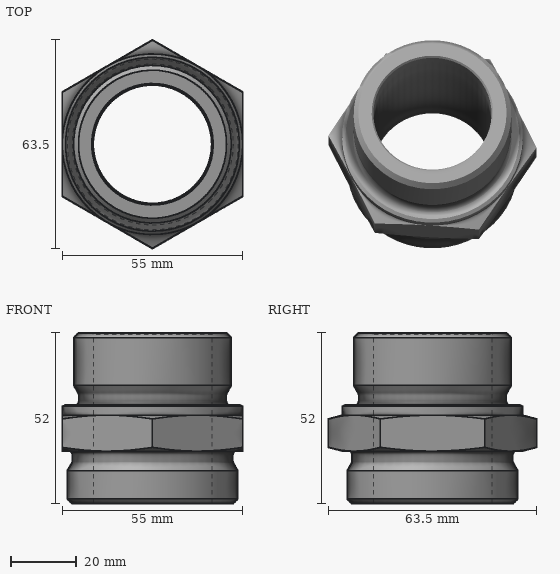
import cadquery as cq
import math

height = 52.0
bore_radius = 36.0 / 2
across_corners = 63.5
flat_radius = across_corners / 2 * math.cos(math.radians(30))

lower_taper_start = 10.0
hex_bottom = 16.0
hex_top = 26.9
collar_edge_top = 29.6
collar_crest_level = 30.1
upper_taper_end = 36.0

end_chamfer = 1.45
bore_chamfer = 0.5
lower_radius = 52.0 / 2
lower_neck_radius = 49.0 / 2
lower_blend = 0.75
hex_fillet = 1.0
upper_radius = 48.0 / 2
upper_neck_radius = 45.0 / 2
undercut_fillet = 1.65
undercut_angle = math.radians(30)

collar_crest_radius = 26.5
collar_root_level = 29.65
hex_chamfer_angle = math.radians(15)


def blend_rise(blend_radius):
    """Radial growth of a blend that turns from the neck to the taper."""
    return blend_radius * (1 - math.cos(undercut_angle))


def taper_height(end_radius, neck_radius, blend_radius):
    """Axial length of the straight taper between an end and its neck blend."""
    return (end_radius - neck_radius - blend_rise(blend_radius)) / math.tan(undercut_angle)


def blend_points(neck_radius, blend_radius, neck_level, direction):
    """Middle and taper-side end of a blend; direction is +1 for up, -1 for down."""
    points = []
    for angle in (undercut_angle / 2, undercut_angle):
        radius = neck_radius + blend_radius * (1 - math.cos(angle))
        points.append((radius, neck_level + direction * blend_radius * math.sin(angle)))
    return points


def quarter_middle(neck_radius, fillet_radius, neck_level, direction):
    """Middle of a quarter-round fillet that leaves the neck."""
    half = math.radians(45)
    radius = neck_radius + fillet_radius * (1 - math.cos(half))
    return radius, neck_level + direction * fillet_radius * math.sin(half)


def make_body():
    """Turned body with bore, both end spigots, their undercuts and the collar."""
    lower_taper_end = lower_taper_start + taper_height(lower_radius, lower_neck_radius, lower_blend)
    lower_neck_start = lower_taper_end + lower_blend * math.sin(undercut_angle)
    lower_mid, lower_end = blend_points(lower_neck_radius, lower_blend, lower_neck_start, -1)

    upper_taper = taper_height(upper_radius, upper_neck_radius, undercut_fillet)
    upper_neck_end = upper_taper_end - upper_taper - undercut_fillet * math.sin(undercut_angle)
    upper_mid, upper_end = blend_points(upper_neck_radius, undercut_fillet, upper_neck_end, 1)

    hex_fillet_start = hex_bottom - hex_fillet
    collar_fillet_top = collar_root_level + undercut_fillet
    profile = (
        cq.Workplane("XZ")
        .moveTo(bore_radius, 0)
        .lineTo(lower_radius - end_chamfer, 0)
        .lineTo(lower_radius, end_chamfer)
        .lineTo(lower_radius, lower_taper_start)
        .lineTo(*lower_end)
        .threePointArc(lower_mid, (lower_neck_radius, lower_neck_start))
        .lineTo(lower_neck_radius, hex_fillet_start)
        .threePointArc(
            quarter_middle(lower_neck_radius, hex_fillet, hex_fillet_start, 1),
            (lower_neck_radius + hex_fillet, hex_bottom),
        )
        .lineTo(lower_neck_radius + hex_fillet, hex_top)
        .lineTo(flat_radius, hex_top)
        .lineTo(flat_radius, collar_edge_top)
        .lineTo(collar_crest_radius, collar_crest_level)
        .lineTo(upper_neck_radius + undercut_fillet, collar_root_level)
        .threePointArc(
            quarter_middle(upper_neck_radius, undercut_fillet, collar_fillet_top, -1),
            (upper_neck_radius, collar_fillet_top),
        )
        .lineTo(upper_neck_radius, upper_neck_end)
        .threePointArc(upper_mid, upper_end)
        .lineTo(upper_radius, upper_taper_end)
        .lineTo(upper_radius, height - end_chamfer)
        .lineTo(upper_radius - end_chamfer, height)
        .lineTo(bore_radius + bore_chamfer, height)
        .lineTo(bore_radius, height - bore_chamfer)
        .close()
    )
    return profile.revolve(360, (0, 0, 0), (0, 1, 0))


def make_hex():
    """Hexagon with corners on the Y axis, both faces coned off at the corners."""
    corner_radius = across_corners / 2
    corner_drop = (corner_radius - flat_radius) * math.tan(hex_chamfer_angle)
    prism = (
        cq.Workplane("XY", origin=(0, 0, hex_bottom))
        .polygon(6, across_corners)
        .extrude(hex_top - hex_bottom)
        .rotate((0, 0, 0), (0, 0, 1), 90)
    )
    coned_ring = (
        cq.Workplane("XZ")
        .moveTo(bore_radius, hex_bottom)
        .lineTo(flat_radius, hex_bottom)
        .lineTo(corner_radius, hex_bottom + corner_drop)
        .lineTo(corner_radius, hex_top - corner_drop)
        .lineTo(flat_radius, hex_top)
        .lineTo(bore_radius, hex_top)
        .close()
        .revolve(360, (0, 0, 0), (0, 1, 0))
    )
    return prism.intersect(coned_ring)


result = make_body().union(make_hex())